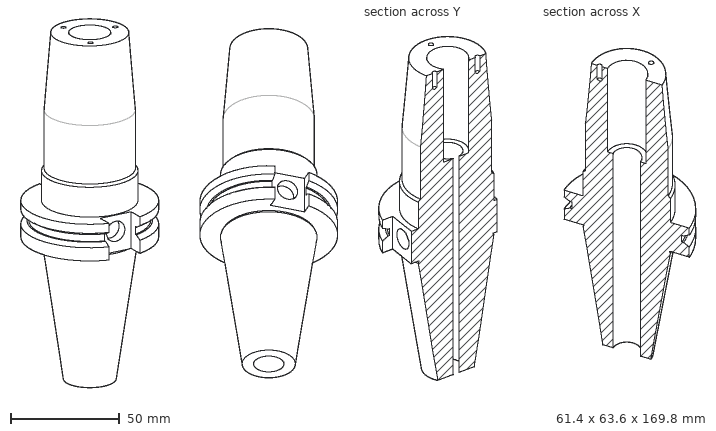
import cadquery as cq
import math

total_height = 169.8

gauge_radius = 22.3
gauge_z = 68.5
taper_rate = 7 / 24
tip_radius = gauge_radius - gauge_z * taper_rate / 2

flange_radius = 31.8
flange_bottom_z = 69.5
flange_top_z = 87.5
neck_radius = 21.7
groove_radius = 28.0
groove_shoulder_radius = 28.9
groove_floor_bottom_z = 77.6
groove_floor_top_z = 81.4
groove_flank_angle = 30
groove_flank_height = (flange_radius - groove_shoulder_radius) * math.tan(math.radians(groove_flank_angle))

collar_radius = 22.3
collar_top_z = 102.0
body_radius = 21.0
body_bottom_z = collar_top_z + (collar_radius - body_radius)
nose_bottom_z = 132.0
nose_radius = 18.0

bore_radius = 9.7
bore_depth = 51.0
passage_radius = 7.0

slot_width = 16.6
left_slot_floor_distance = 25.0
right_slot_floor_distance = 23.0
pocket_radius = 5.0
pocket_depth = 5.1
pocket_z = 79.5

nose_hole_count = 3
nose_hole_radius = 1.2
nose_hole_circle_radius = 13.8
nose_hole_depth = 8.5
drill_tip_angle = 118
drill_tip_height = nose_hole_radius / math.tan(math.radians(drill_tip_angle / 2))


def revolve_profile(points):
    """Revolve a closed (radius, z) outline about the Z axis."""
    return cq.Workplane("XZ").polyline(points).close().revolve(360, (0, 0), (0, 1))


def make_body():
    return revolve_profile([
        (0, 0),
        (tip_radius, 0),
        (gauge_radius, gauge_z),
        (neck_radius, flange_bottom_z),
        (flange_radius, flange_bottom_z),
        (flange_radius, groove_floor_bottom_z - groove_flank_height),
        (groove_shoulder_radius, groove_floor_bottom_z),
        (groove_radius, groove_floor_bottom_z),
        (groove_radius, groove_floor_top_z),
        (groove_shoulder_radius, groove_floor_top_z),
        (flange_radius, groove_floor_top_z + groove_flank_height),
        (flange_radius, flange_top_z),
        (collar_radius, flange_top_z),
        (collar_radius, collar_top_z),
        (body_radius, body_bottom_z),
        (body_radius, nose_bottom_z),
        (nose_radius, total_height),
        (0, total_height),
    ])


def make_bore():
    bore_bottom_z = total_height - bore_depth
    return revolve_profile([
        (0, 0),
        (passage_radius, 0),
        (passage_radius, bore_bottom_z),
        (bore_radius, bore_bottom_z),
        (bore_radius, total_height),
        (0, total_height),
    ])


def make_drive_slot(floor_distance):
    """Slot on the +X side, open outward, with its floor pocket."""
    slot_depth = flange_radius - floor_distance
    flange_height = flange_top_z - flange_bottom_z
    slot = (
        cq.Workplane("XY", origin=(floor_distance, 0, flange_bottom_z))
        .box(slot_depth, slot_width, flange_height, centered=(False, True, False))
    )
    pocket = (
        cq.Workplane("YZ", origin=(floor_distance - pocket_depth, 0, pocket_z))
        .circle(pocket_radius)
        .extrude(pocket_depth)
    )
    return slot.union(pocket)


def make_nose_hole():
    """Blind drilled hole on the +Y side with a conical bottom."""
    shoulder_z = total_height - nose_hole_depth
    hole = revolve_profile([
        (0, shoulder_z - drill_tip_height),
        (nose_hole_radius, shoulder_z),
        (nose_hole_radius, total_height),
        (0, total_height),
    ])
    return hole.translate((0, nose_hole_circle_radius, 0))


result = make_body().cut(make_bore())

right_slot = make_drive_slot(right_slot_floor_distance)
left_slot = make_drive_slot(left_slot_floor_distance).rotate((0, 0, 0), (0, 0, 1), 180)
result = result.cut(right_slot).cut(left_slot)

nose_hole = make_nose_hole()
for index in range(nose_hole_count):
    angle = index * 360 / nose_hole_count
    result = result.cut(nose_hole.rotate((0, 0, 0), (0, 0, 1), angle))